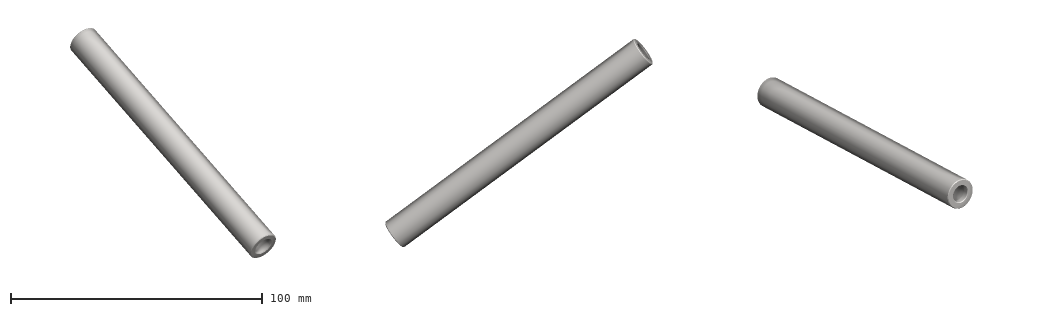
import cadquery as cq

length = 125.0
outer_diameter = 12.5
mouth_diameter = 7.0
mouth_length = 2.4
bore_diameter = 7.5
rim_chamfer = 0.3


def cylinder_along_x(diameter, start, end):
    """Cylinder on the X axis from x = start to x = end."""
    profile = cq.Workplane("YZ", origin=(start, 0, 0)).circle(diameter / 2)
    return profile.extrude(end - start)


rod = cylinder_along_x(outer_diameter, 0, length)
mouth = cylinder_along_x(mouth_diameter, 0, mouth_length)
main_bore = cylinder_along_x(bore_diameter, mouth_length, length)
tube = rod.cut(mouth).cut(main_bore)

result = tube.faces("<X or >X").edges().chamfer(rim_chamfer)